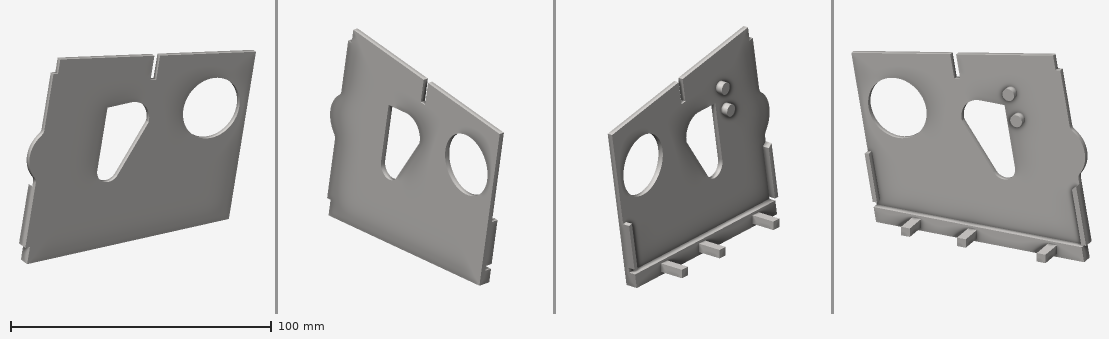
import cadquery as cq
import math

tilt = math.radians(10)

plate_thickness = 2.1
raised_thickness = 5.0
peg_reach = 15.0

body_width = 87.4
full_width = 89.4
plate_height = 68.7
step_drop = 6.0
slot_start = 42.8
slot_width = 2.5
slot_depth = 10.0

bar_height = 6.1
front_rail_bottom = 7.0
front_rail_inner_top = 29.5
front_rail_outer_top = 31.0
rear_rail_width = 1.8
rear_rail_bottom = 8.2
rear_rail_top = 28.2

peg_width = 3.8
peg_height = 3.6
peg_z = 3.1
peg_ys = (-17.4, -41.2, -75.2)

pin_diameter = 5.0
pin_centers = [(-56.3, 64.0), (-59.7, 53.7)]
hole_diameter = 25.0
hole_center = (-7.7, 48.2)

lug_radius = 11.2
lug_center = (-76.6, 43.2)
lug_root_top = 53.3
lug_root_bottom = 34.5
lug_root_fillet = 3.0

window_top = 58.1
window_corner_y = -53.4
window_large_radius = 8.0
window_large_center = (-43.0, window_top - window_large_radius)
window_small_radius = 5.0
window_small_center_z = 31.9
large_arc_middle = 40
large_arc_end = -14
small_arc_start = -36
small_arc_middle = -110


def leaning(across, up):
    """Return (y, z) for a position in the tilted frame of the plate."""
    y = up * math.sin(tilt) - across * math.cos(tilt)
    z = up * math.cos(tilt) + across * math.sin(tilt)
    return y, z


def on_edge(across, z):
    """Return (y, z) at height z on a leaning line at a given width."""
    return (z * math.sin(tilt) - across) / math.cos(tilt), z


def on_circle(center, radius, degrees):
    """Return (y, z) on a circle, with angles measured from +Y toward +Z."""
    angle = math.radians(degrees)
    return center[0] + radius * math.cos(angle), center[1] + radius * math.sin(angle)


def raised(points, thickness):
    """Extrude a closed outline from the back face toward -X."""
    return cq.Workplane("YZ").polyline(points).close().extrude(-thickness)


def make_plate():
    slot_end = slot_start + slot_width
    slot_floor = plate_height - slot_depth
    step_height = plate_height - step_drop
    return raised(
        [
            (0, 0),
            leaning(0, plate_height),
            leaning(slot_start, plate_height),
            leaning(slot_start, slot_floor),
            leaning(slot_end, slot_floor),
            leaning(slot_end, plate_height),
            leaning(body_width, plate_height),
            leaning(body_width, step_height),
            leaning(full_width, step_height),
            on_edge(full_width, front_rail_bottom),
            on_edge(body_width, front_rail_bottom),
            on_edge(body_width, 0),
        ],
        plate_thickness,
    )


def make_lug():
    top = on_edge(full_width, lug_root_top)
    bottom = on_edge(full_width, lug_root_bottom)
    tip = on_circle(lug_center, lug_radius, 180)
    return (
        cq.Workplane("YZ").moveTo(*top).threePointArc(tip, bottom)
        .close().extrude(-plate_thickness)
    )


def round_lug_roots(plate):
    for root_z in (lug_root_top, lug_root_bottom):
        root = on_edge(full_width, root_z)
        nearest = cq.selectors.NearestToPointSelector((-plate_thickness / 2, *root))
        plate = plate.edges("|X").edges(nearest).fillet(lug_root_fillet)
    return plate


def make_bar():
    return raised(
        [(0, 0), on_edge(0, bar_height), on_edge(body_width, bar_height), on_edge(body_width, 0)],
        raised_thickness,
    )


def make_rails():
    rear = raised(
        [
            on_edge(0, rear_rail_bottom),
            leaning(0, rear_rail_top),
            leaning(rear_rail_width, rear_rail_top),
            on_edge(rear_rail_width, rear_rail_bottom),
        ],
        raised_thickness,
    )
    front = raised(
        [
            on_edge(body_width, front_rail_bottom),
            on_edge(body_width, front_rail_inner_top),
            on_edge(full_width, front_rail_outer_top),
            on_edge(full_width, front_rail_bottom),
        ],
        raised_thickness,
    )
    return rear.union(front)


def make_pegs():
    centers = [(y, peg_z) for y in peg_ys]
    return cq.Workplane("YZ").pushPoints(centers).rect(peg_width, peg_height).extrude(-peg_reach)


def make_pins():
    return cq.Workplane("YZ").pushPoints(pin_centers).circle(pin_diameter / 2).extrude(-raised_thickness)


def make_window():
    front_side = -window_corner_y * math.cos(tilt) + window_top * math.sin(tilt)
    small_center = on_edge(front_side - window_small_radius, window_small_center_z)
    front_tangent = 180 - math.degrees(tilt)
    return (
        cq.Workplane("YZ")
        .moveTo(window_corner_y, window_top)
        .lineTo(window_large_center[0], window_top)
        .threePointArc(
            on_circle(window_large_center, window_large_radius, large_arc_middle),
            on_circle(window_large_center, window_large_radius, large_arc_end),
        )
        .lineTo(*on_circle(small_center, window_small_radius, small_arc_start))
        .threePointArc(
            on_circle(small_center, window_small_radius, small_arc_middle),
            on_circle(small_center, window_small_radius, front_tangent),
        )
        .close()
        .extrude(-plate_thickness)
    )


def make_hole():
    return cq.Workplane("YZ").center(*hole_center).circle(hole_diameter / 2).extrude(-plate_thickness)


result = (
    round_lug_roots(make_plate().union(make_lug()))
    .union(make_bar())
    .union(make_rails())
    .union(make_pegs())
    .union(make_pins())
    .cut(make_window())
    .cut(make_hole())
)